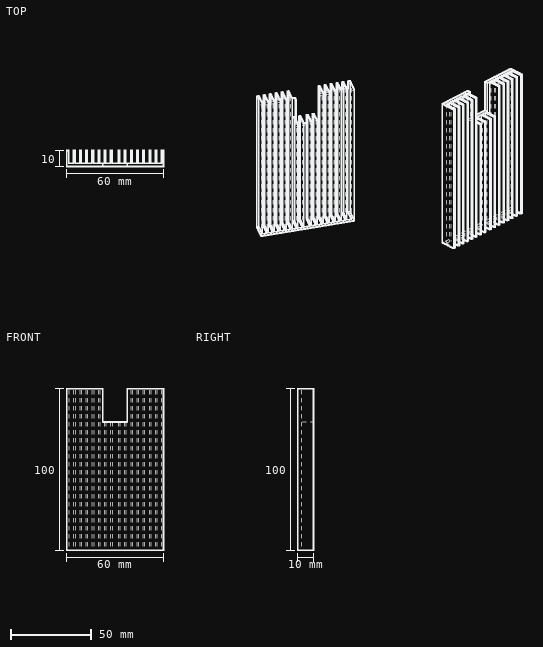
import cadquery as cq

width = 60.0
thickness = 10.0
length = 100.0

base_thickness = 2.2
fin_thickness = 1.0
end_fin_thickness = 1.4
middle_channel_width = 3.8
channels_per_side = 7

notch_width = 15.0
notch_depth = 20.5

fin_height = thickness - base_thickness
fin_group_width = (width - middle_channel_width) / 2 - end_fin_thickness
fin_pitch = fin_group_width / channels_per_side
channel_width = fin_pitch - fin_thickness


def upright_block(center_x, start_y, start_z, size_x, size_y, size_z):
    """Box centred on center_x, growing in +Y and +Z from its start corner."""
    block = cq.Workplane("XY").box(size_x, size_y, size_z, centered=(True, False, False))
    return block.translate((center_x, start_y, start_z))


def channel(center_x, channel_size):
    """Full-length channel cut down to the base plate."""
    return upright_block(center_x, base_thickness, 0, channel_size, fin_height, length)


result = upright_block(0, 0, 0, width, thickness, length)

result = result.cut(channel(0, middle_channel_width))
outer_channel_x = width / 2 - end_fin_thickness - channel_width / 2
for side in (-1, 1):
    for index in range(channels_per_side):
        center_x = side * (outer_channel_x - index * fin_pitch)
        result = result.cut(channel(center_x, channel_width))

notch = upright_block(0, 0, length - notch_depth, notch_width, thickness, notch_depth)
result = result.cut(notch)